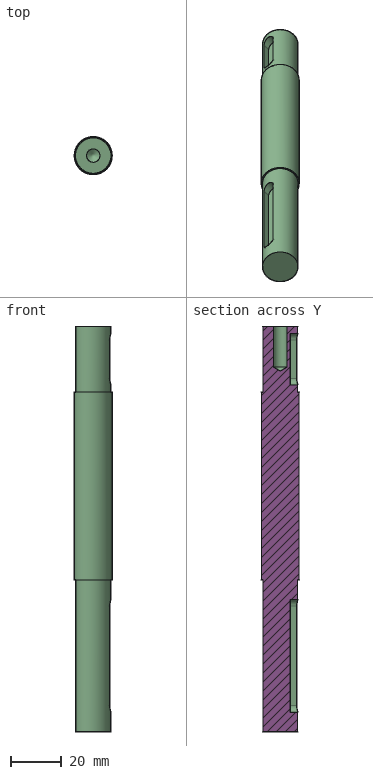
import cadquery as cq
import math

length = 160
body_diameter = 15.0
shoulder_height = 0.51
journal_diameter = body_diameter - 2 * shoulder_height
lower_journal_length = 60.0
upper_journal_length = 26.0
body_length = length - lower_journal_length - upper_journal_length

key_width = 5.0
key_depth = 3.0
lower_key_margin = 7.8
upper_key_margin = 2.9

hole_diameter = 5.3
hole_depth = 16
drill_tip_angle = 118


def stepped_shaft():
    return (
        cq.Workplane("XY")
        .circle(journal_diameter / 2)
        .extrude(lower_journal_length)
        .faces(">Z")
        .workplane()
        .circle(body_diameter / 2)
        .extrude(body_length)
        .faces(">Z")
        .workplane()
        .circle(journal_diameter / 2)
        .extrude(upper_journal_length)
    )


def keyway(journal_bottom, journal_length, margin):
    """Cutter centred on a journal, ending one margin short of each journal end."""
    floor = journal_diameter / 2 - key_depth
    return (
        cq.Workplane("YZ", origin=(floor, 0, journal_bottom + journal_length / 2))
        .slot2D(journal_length - 2 * margin, key_width, 90)
        .extrude(body_diameter / 2)
    )


def drilled_hole():
    """Cylinder with a conical drill tip below its full-diameter depth."""
    radius = hole_diameter / 2
    shoulder = length - hole_depth
    tip = shoulder - radius / math.tan(math.radians(drill_tip_angle / 2))
    return (
        cq.Workplane("XZ")
        .polyline([(0, tip), (radius, shoulder), (radius, length), (0, length)])
        .close()
        .revolve(360, (0, 0), (0, 1))
    )


result = (
    stepped_shaft()
    .cut(keyway(0, lower_journal_length, lower_key_margin))
    .cut(keyway(length - upper_journal_length, upper_journal_length, upper_key_margin))
    .cut(drilled_hole())
)